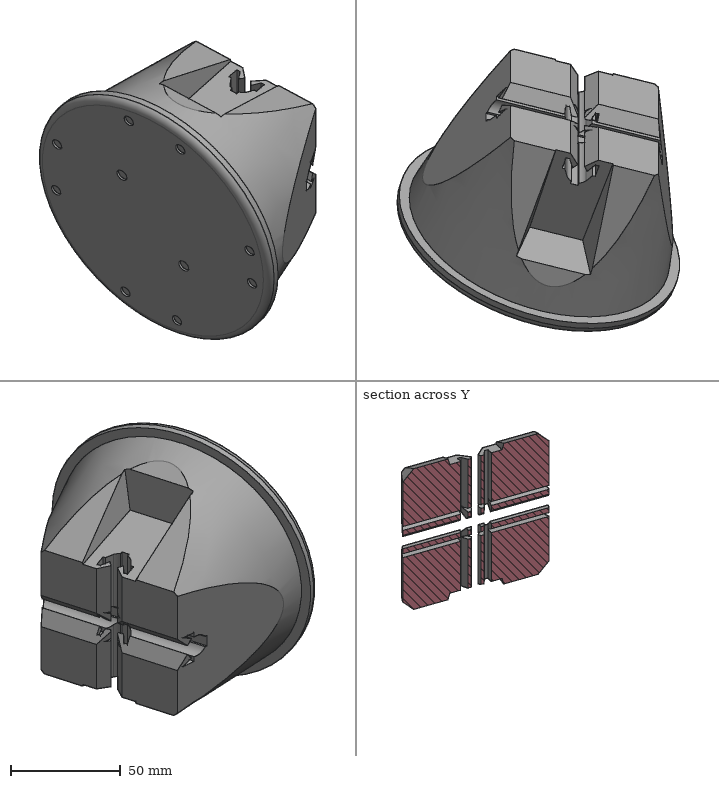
import cadquery as cq
import math

total_depth = 76.0
flange_diameter = 133.47

cover_thickness = 3.6
cover_edge_radius = 3.4
screw_hole_diameter = 5.2
screw_circle_radius = 57.1
screw_angles = [14, 74, 104, 164, 194, 254, 284, 354]
mount_hole_diameter = 5.6
mount_circle_radius = 25.5
mount_angles = [134, 314]
recess_depth = 1.1

flange_thickness = 2.9
flange_back = cover_thickness + flange_thickness
cone_taper = math.tan(math.radians(11))
cone_back_radius = 48.5
cone_front_radius = cone_back_radius + cone_taper * (total_depth - flange_back)
flat_slope = math.tan(math.radians(23.2))
flat_back_offset = 35.2
flat_front_offset = flat_back_offset + flat_slope * total_depth

pocket_back_half_width = 13.8
pocket_side_draft = 0.28
pocket_side_taper = 0.0365
pocket_floor_front_y = 32.4
pocket_end_draft = 0.24
floor_back_z = 34.25
floor_front_z = 36.6
floor_lean = (floor_front_z - floor_back_z) / (total_depth - pocket_floor_front_y)

channel_bore_radius = 5.7
undercut_depth = 2.9

upright_entry_half_width = 6.6
upright_lip_inner_corner = (1.65, 4.95)
upright_lip_outer_corner = (3.45, 7.3)
upright_lip_root_half_width = 6.1
upright_side_half_width = 7.85
upright_side_depth = 8.75
upright_bore_centre_depth = 8.9
upright_bore_start_depth = 12.4
upright_groove_half_width = 1.8
upright_groove_depth = 15.7

cross_entry_half_width = 8.9
cross_lip_inner_corner = (2.5, 5.4)
cross_lip_outer_corner = (5.5, 7.6)
cross_side_half_width = 8.2
cross_side_depth = 9.0
cross_bore_centre_depth = 10.0
cross_groove_half_width = 2.9
cross_groove_depth = 15.8

margin = 10.0


def make_cover():
    disc = cq.Workplane("XZ").circle(flange_diameter / 2).extrude(-cover_thickness)
    disc = disc.faces("<Y").edges().fillet(cover_edge_radius)
    disc = disc.cut(recesses(screw_hole_diameter, screw_circle_radius, screw_angles))
    return disc.cut(recesses(mount_hole_diameter, mount_circle_radius, mount_angles))


def recesses(diameter, circle_radius, angles):
    """Blind round recesses in the front face of the cover, angles measured from +X towards +Z."""
    centres = []
    for angle in angles:
        turn = math.radians(angle)
        centres.append((circle_radius * math.cos(turn), circle_radius * math.sin(turn)))
    return cq.Workplane("XZ").pushPoints(centres).circle(diameter / 2).extrude(-recess_depth)


def flanged_cone():
    half_profile = [
        (0, cover_thickness),
        (flange_diameter / 2, cover_thickness),
        (flange_diameter / 2, flange_back),
        (cone_front_radius, flange_back),
        (cone_back_radius, total_depth),
        (0, total_depth),
    ]
    return cq.Workplane("XY").polyline(half_profile).close().revolve(360, (0, 0), (0, 1))


def flat_cutter(turn):
    """Wedge outside one sloping flat; turn is the angle about Y from the +Z flat."""
    outside = flange_diameter
    wedge = (
        cq.Workplane("YZ")
        .moveTo(flange_back, flat_front_offset - flat_slope * flange_back)
        .lineTo(total_depth + margin, flat_back_offset - flat_slope * margin)
        .lineTo(total_depth + margin, outside)
        .lineTo(flange_back, outside)
        .close()
        .extrude(flange_diameter / 2, both=True)
    )
    return wedge.rotate((0, 0, 0), (0, 1, 0), turn)


def pocket_section(z):
    """Closed trapezoid of the drafted pocket at height z, running on past the back face."""
    front_y = pocket_floor_front_y - pocket_end_draft * (z - floor_front_z)
    back_y = total_depth + margin
    side_offset = pocket_back_half_width + pocket_side_draft * (z - flat_back_offset)
    front_half_width = side_offset - pocket_side_taper * (total_depth - front_y)
    back_half_width = side_offset + pocket_side_taper * margin
    corners = [
        (-front_half_width, front_y),
        (front_half_width, front_y),
        (back_half_width, back_y),
        (-back_half_width, back_y),
    ]
    return cq.Wire.makePolygon([cq.Vector(x, y, z) for x, y in corners], close=True)


def pocket_cutter(turn):
    """Drafted pocket of the +Z flat, turned about Y."""
    low = floor_back_z - margin
    high = flange_diameter / 2
    funnel = cq.Workplane(cq.Solid.makeLoft([pocket_section(low), pocket_section(high)], True))
    below_floor = (
        cq.Workplane("YZ")
        .moveTo(0, floor_back_z + floor_lean * total_depth)
        .lineTo(total_depth + margin, floor_back_z - floor_lean * margin)
        .lineTo(total_depth + margin, 0)
        .lineTo(0, 0)
        .close()
        .extrude(flange_diameter / 2, both=True)
    )
    return funnel.cut(below_floor).rotate((0, 0, 0), (0, 1, 0), turn)


def bore_depth(centre_depth, half_width):
    """Depth at which the bore reaches the given half width on its deep side."""
    return centre_depth + math.sqrt(channel_bore_radius**2 - half_width**2)


def bore_half_width(centre_depth, depth):
    """Half width of the bore at the given depth."""
    return math.sqrt(channel_bore_radius**2 - (depth - centre_depth) ** 2)


def channel(plane, lip, bore_centre_depth, bore_start_depth, groove_half_width, groove_depth):
    """Through channel: a lip outline and a bore arc on each side, closed by a flat-bottomed groove.

    The lip is listed as (half width, depth) pairs from the back face down to the bore.
    """
    start = (bore_half_width(bore_centre_depth, bore_start_depth), bore_start_depth)
    end = (groove_half_width, bore_depth(bore_centre_depth, groove_half_width))
    middle_depth = (start[1] + end[1]) / 2
    middle = (bore_half_width(bore_centre_depth, middle_depth), middle_depth)

    def point(side, position):
        half_width, depth = position
        return side * half_width, total_depth - depth

    outline = cq.Workplane(plane).moveTo(*point(1, lip[0]))
    for corner in [*lip[1:], start]:
        outline = outline.lineTo(*point(1, corner))
    outline = outline.threePointArc(point(1, middle), point(1, end))
    groove_corner = (groove_half_width, groove_depth)
    for side, corner in [(1, groove_corner), (-1, groove_corner), (-1, end)]:
        outline = outline.lineTo(*point(side, corner))
    outline = outline.threePointArc(point(-1, middle), point(-1, start))
    for corner in reversed(lip):
        outline = outline.lineTo(*point(-1, corner))
    return outline.close().extrude(flange_diameter / 2, both=True)


def upright_channel():
    """Channel running along Z, flaring straight from its side grooves into the bore."""
    lip = [
        (upright_entry_half_width, 0),
        upright_lip_inner_corner,
        upright_lip_outer_corner,
        (upright_lip_root_half_width, undercut_depth),
        (upright_side_half_width, undercut_depth),
        (upright_side_half_width, upright_side_depth),
        (upright_entry_half_width, upright_side_depth),
    ]
    return channel(
        "XY",
        lip,
        upright_bore_centre_depth,
        upright_bore_start_depth,
        upright_groove_half_width,
        upright_groove_depth,
    )


def cross_channel():
    """Channel running along X, with wedge-shaped undercuts behind its lips."""
    lip = [
        (cross_entry_half_width, 0),
        cross_lip_inner_corner,
        cross_lip_outer_corner,
        (cross_side_half_width, undercut_depth),
        (cross_side_half_width, cross_side_depth),
    ]
    z_by_y_plane = cq.Plane(origin=(0, 0, 0), xDir=(0, 0, 1), normal=(-1, 0, 0))
    return channel(
        z_by_y_plane,
        lip,
        cross_bore_centre_depth,
        cross_side_depth,
        cross_groove_half_width,
        cross_groove_depth,
    )


def make_housing():
    body = flanged_cone()
    for turn in (0, 90, 180, 270):
        body = body.cut(flat_cutter(turn))
    for turn in (0, 180):
        body = body.cut(pocket_cutter(turn))
    return body.cut(upright_channel()).cut(cross_channel())


cover = make_cover()
housing = make_housing()
result = cq.Compound.makeCompound([cover.val(), *housing.vals()])